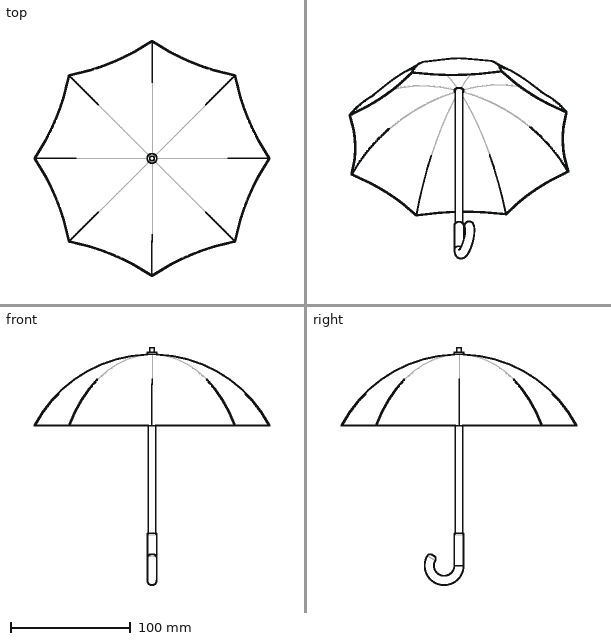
import math

import cadquery as cq

rib_count = 8
rim_radius = 98.3
apex_height = 59.5
rim_sag = 3.8
canopy_thickness = 1.0
panel_fractions = (0.25, 0.5, 0.75, 0.9)
panel_drop_power = 10

shaft_diameter = 6.5

tip_diameter = 4.0
tip_top = 65.0
collar_diameter = 8.0
collar_top = 61.2

overall_height = 198.1
handle_diameter = 8.0
hook_inner_diameter = 16.8
hook_angle = 210.0
grip_length = 27.0
grip_top_fillet = 1.0
end_length = 2.8
end_fillet = 2.5

hook_radius = (hook_inner_diameter + handle_diameter) / 2
hook_start = tip_top - overall_height + hook_radius + handle_diameter / 2
grip_top = hook_start + grip_length
ferrule_bottom = apex_height - canopy_thickness


def cylinder(diameter, bottom, top):
    return cq.Workplane("XY").workplane(offset=bottom).circle(diameter / 2).extrude(top - bottom)


def polar(radius, angle, height=0.0):
    return cq.Vector(radius * math.cos(angle), radius * math.sin(angle), height)


def rib_edge(radius, height, angle):
    """Circular arc from the rim up to a level tangent at the apex."""
    arc_radius = (radius**2 + height**2) / (2 * height)
    half_span = math.asin(radius / arc_radius) / 2
    middle_height = height - arc_radius * (1 - math.cos(half_span))
    middle = polar(arc_radius * math.sin(half_span), angle, middle_height)
    return cq.Edge.makeThreePointArc(polar(radius, angle), middle, cq.Vector(0, 0, height))


def rim_edge(radius, start_angle):
    """Arc between two neighbouring rib ends, bowed toward the axis."""
    half_step = math.pi / rib_count
    middle_radius = radius * math.cos(half_step) - rim_sag
    return cq.Edge.makeThreePointArc(
        polar(radius, start_angle),
        polar(middle_radius, start_angle + half_step),
        polar(radius, start_angle + 2 * half_step),
    )


def panel_points(radius, height, angle):
    """Points on a panel's center line: level with the ribs near the apex, dropping away to the rim."""
    arc_radius = (radius**2 + height**2) / (2 * height)
    rim_span = radius * math.cos(math.pi / rib_count) - rim_sag

    def rib_height(distance):
        return height - arc_radius + math.sqrt(arc_radius**2 - distance**2)

    points = []
    for fraction in panel_fractions:
        distance = fraction * rim_span
        drop = rib_height(rim_span) * fraction**panel_drop_power
        points.append(polar(distance, angle, rib_height(distance) - drop))
    return points


def dome(radius, height):
    """Solid umbrella shape with one smooth panel between each pair of ribs."""
    step = 2 * math.pi / rib_count
    ribs = [rib_edge(radius, height, i * step) for i in range(rib_count)]
    rims = [rim_edge(radius, i * step) for i in range(rib_count)]
    faces = [cq.Face.makeFromWires(cq.Wire.assembleEdges(rims))]
    for i in range(rib_count):
        panel_edges = [ribs[i], rims[i], ribs[(i + 1) % rib_count]]
        faces.append(cq.Face.makeNSidedSurface(panel_edges, panel_points(radius, height, (i + 0.5) * step)))
    return cq.Workplane(cq.Solid.makeSolid(cq.Shell.makeShell(faces)).fix())


def make_canopy(shaft, ferrule):
    """Thin shell, open below, with a seat at the apex for the ferrule and the shaft end."""
    outer = dome(rim_radius, apex_height)
    inner = dome(rim_radius - canopy_thickness, apex_height - canopy_thickness)
    return outer.cut(inner).cut(shaft).cut(ferrule)


def make_shaft():
    return cylinder(shaft_diameter, hook_start, ferrule_bottom)


def make_ferrule():
    tip = cylinder(tip_diameter, ferrule_bottom, tip_top)
    collar = cylinder(collar_diameter, ferrule_bottom, collar_top)
    return tip.union(collar)


def make_handle():
    grip = cylinder(handle_diameter, hook_start, grip_top).faces(">Z").fillet(grip_top_fillet)
    hook = (
        cq.Workplane("XY", origin=(0, 0, hook_start))
        .circle(handle_diameter / 2)
        .revolve(hook_angle, (2, -hook_radius, 0), (-2, -hook_radius, 0))
    )
    turn = math.radians(hook_angle)
    end_center = (
        0,
        -hook_radius + hook_radius * math.cos(turn),
        hook_start - hook_radius * math.sin(turn),
    )
    end_direction = (0, -math.sin(turn), -math.cos(turn))
    end_plane = cq.Plane(end_center, xDir=(1, 0, 0), normal=end_direction)
    end = cq.Workplane(end_plane).circle(handle_diameter / 2).extrude(end_length)
    tip_face = cq.selectors.DirectionMinMaxSelector(cq.Vector(*end_direction))
    end = end.faces(tip_face).edges().fillet(end_fillet)
    socket = cylinder(shaft_diameter, hook_start, grip_top)
    return grip.union(hook).union(end).cut(socket)


shaft = make_shaft()
ferrule = make_ferrule()
canopy = make_canopy(shaft, ferrule)
handle = make_handle()

result = cq.Compound.makeCompound([canopy.val(), shaft.val(), ferrule.val(), handle.val()])